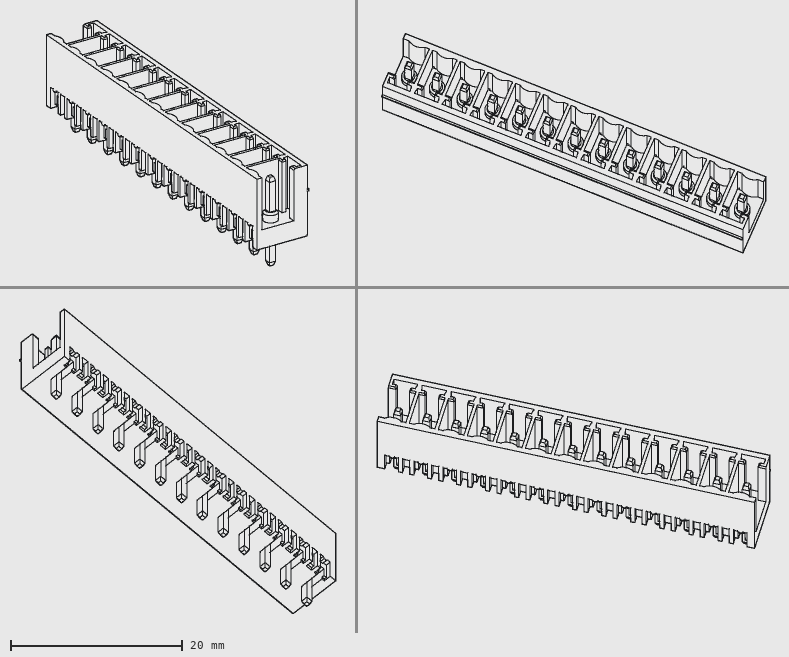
import cadquery as cq

PIN_COUNT = 13
LENGTH = 45.5
PITCH = LENGTH / PIN_COUNT
PIN_XS = [(i - (PIN_COUNT - 1) / 2) * PITCH for i in range(PIN_COUNT)]
GAP_XS = [x + PITCH / 2 for x in PIN_XS[:-1]]

DEPTH = 7.0
HEIGHT = 9.2
FLOOR_Z = 2.45
FRONT_WALL = 0.7
BACK_WALL = 0.7
FRONT_Y = -3.0
BACK_Y = FRONT_Y + DEPTH
CAVITY_FRONT_Y = FRONT_Y + FRONT_WALL
CAVITY_BACK_Y = BACK_Y - BACK_WALL
BOTTOM_EDGE_CHAMFER = 0.15

RIB_PROJECTION = 0.25
RIB_HEIGHT = 0.25
RIB_Z = 5.9

PARTITION = 0.4
TAB_THICKNESS = 0.55
TAB_SETBACK = 1.9
TAB_FRONT_Y = BACK_Y - TAB_SETBACK
TAB_BACK_Y = TAB_FRONT_Y + TAB_THICKNESS
TAB_GAP = 1.6
TAB_CHAMFER = 0.2
REAR_WALL_AT_BACK = 0.55
REAR_WALL_AT_TABS = 0.77
END_WALL = 0.35
BULGE_WIDTH = 2.0
BULGE_RISE = 0.3

PIN_SIDE = 0.85
PIN_TIP_SIDE = 0.5
PIN_TIP_LENGTH = 0.55
PIN_BOTTOM_Z = -3.4
PIN_TOP_RECESS = 1.1
PIN_TOP_Z = HEIGHT - PIN_TOP_RECESS
COLLAR_DIAMETER = 1.8
COLLAR_HEIGHT = 1.25
COLLAR_CHAMFER = 0.27

SLOT_HEIGHT = 2.75
PIN_SLOT_WIDTH = 1.65
PIN_SLOT_DEPTH = 0.65
PIN_SLOT_FOOT_HEIGHT = 0.35
GAP_SLOT_WIDTH = 0.85
GAP_SLOT_DEPTH = 0.6
GAP_SLOT_FOOT_HEIGHT = 0.5
SLOT_FOOT_DEPTH = 0.95
PIN_NOTCH_HEIGHT = 1.65
KEY_TOP_WIDTH = 0.7
KEY_BOTTOM_WIDTH = 0.35
KEY_HEIGHT = 0.27


def box(x_min, x_max, y_min, y_max, z_min, z_max):
    """Axis-aligned block between the given limits."""
    size = (x_max - x_min, y_max - y_min, z_max - z_min)
    return cq.Workplane("XY").box(*size, centered=False).translate((x_min, y_min, z_min))


def centred_box(x, width, y_min, y_max, z_min, z_max):
    """Block of the given width centred on x."""
    return box(x - width / 2, x + width / 2, y_min, y_max, z_min, z_max)


def make_shell():
    """Outer block with the back rib and the channel open at both ends."""
    end = LENGTH / 2
    shell = box(-end, end, FRONT_Y, BACK_Y, 0, HEIGHT)
    shell = shell.edges(">Y and <Z").chamfer(BOTTOM_EDGE_CHAMFER)
    rib_bottom_z = RIB_Z - RIB_HEIGHT / 2
    rib_top_z = RIB_Z + RIB_HEIGHT / 2
    shell = shell.union(box(-end, end, BACK_Y, BACK_Y + RIB_PROJECTION, rib_bottom_z, rib_top_z))
    shell = shell.cut(box(-end, end, CAVITY_FRONT_Y, TAB_FRONT_Y, FLOOR_Z, HEIGHT))
    lead_in = (
        cq.Workplane("YZ", origin=(-end, 0, 0))
        .moveTo(TAB_FRONT_Y, HEIGHT)
        .lineTo(TAB_FRONT_Y + TAB_CHAMFER, HEIGHT)
        .lineTo(TAB_FRONT_Y, HEIGHT - TAB_CHAMFER)
        .close()
        .extrude(LENGTH)
    )
    return shell.cut(lead_in)


def make_rear_pocket(x, is_first, is_last):
    """Pocket behind the tabs, with the gap between the tabs and its lead-in chamfers."""
    half_at_back = (PITCH - REAR_WALL_AT_BACK) / 2
    half_at_tabs = (PITCH - REAR_WALL_AT_TABS) / 2
    half_at_end = PITCH / 2 - END_WALL
    left_back, left_tabs = (half_at_end, half_at_end) if is_first else (half_at_back, half_at_tabs)
    right_back, right_tabs = (half_at_end, half_at_end) if is_last else (half_at_back, half_at_tabs)
    pocket = (
        cq.Workplane("XY", origin=(x, 0, FLOOR_Z))
        .moveTo(-left_back, CAVITY_BACK_Y)
        .lineTo(right_back, CAVITY_BACK_Y)
        .lineTo(right_tabs, TAB_BACK_Y)
        .lineTo(-left_tabs, TAB_BACK_Y)
        .close()
        .extrude(HEIGHT - FLOOR_Z)
    )
    gap = centred_box(x, TAB_GAP, TAB_FRONT_Y, TAB_BACK_Y, FLOOR_Z, HEIGHT)
    lead_in = (
        cq.Workplane("XZ", origin=(x, TAB_BACK_Y, 0))
        .moveTo(-TAB_GAP / 2 - TAB_CHAMFER, HEIGHT)
        .lineTo(TAB_GAP / 2 + TAB_CHAMFER, HEIGHT)
        .lineTo(TAB_GAP / 2, HEIGHT - TAB_CHAMFER)
        .lineTo(-TAB_GAP / 2, HEIGHT - TAB_CHAMFER)
        .close()
        .extrude(TAB_THICKNESS)
    )
    return pocket.union(gap).union(lead_in)


def make_bulge(x):
    """Shallow arched rib on the inside of the front wall, opposite the pin."""
    return (
        cq.Workplane("XY", origin=(x, CAVITY_FRONT_Y, FLOOR_Z))
        .moveTo(-BULGE_WIDTH / 2, 0)
        .threePointArc((0, BULGE_RISE), (BULGE_WIDTH / 2, 0))
        .close()
        .extrude(HEIGHT - FLOOR_Z)
    )


def make_slot(x, width, depth, foot_height):
    """Slot in the lower front wall, deeper at its foot."""
    slot = centred_box(x, width, FRONT_Y, FRONT_Y + depth, 0, SLOT_HEIGHT)
    foot = centred_box(x, width, FRONT_Y, FRONT_Y + SLOT_FOOT_DEPTH, 0, foot_height)
    return slot.union(foot)


def make_pin_slot(x):
    """Slot in front of a pin: keyed top edge and a notch that reaches back to the pin."""
    slot = make_slot(x, PIN_SLOT_WIDTH, PIN_SLOT_DEPTH, PIN_SLOT_FOOT_HEIGHT)
    key = (
        cq.Workplane("XZ", origin=(x, FRONT_Y + PIN_SLOT_DEPTH, 0))
        .moveTo(-KEY_TOP_WIDTH / 2, SLOT_HEIGHT)
        .lineTo(KEY_TOP_WIDTH / 2, SLOT_HEIGHT)
        .lineTo(KEY_BOTTOM_WIDTH / 2, SLOT_HEIGHT - KEY_HEIGHT)
        .lineTo(-KEY_BOTTOM_WIDTH / 2, SLOT_HEIGHT - KEY_HEIGHT)
        .close()
        .extrude(PIN_SLOT_DEPTH)
    )
    notch = centred_box(x, PIN_SIDE, FRONT_Y, -PIN_SIDE / 2, 0, PIN_NOTCH_HEIGHT)
    return slot.cut(key).union(notch)


def make_pin_tip(base_z, direction):
    """Tapered pin end that starts at base_z and points up (+1) or down (-1)."""
    return (
        cq.Workplane("XY", origin=(0, 0, base_z))
        .rect(PIN_SIDE, PIN_SIDE)
        .workplane(offset=direction * PIN_TIP_LENGTH)
        .rect(PIN_TIP_SIDE, PIN_TIP_SIDE)
        .loft(ruled=True)
    )


def make_pin(x):
    """Square pin with tapered ends and a round chamfered collar on the cell floor."""
    shank_bottom = PIN_BOTTOM_Z + PIN_TIP_LENGTH
    shank_top = PIN_TOP_Z - PIN_TIP_LENGTH
    shank = centred_box(0, PIN_SIDE, -PIN_SIDE / 2, PIN_SIDE / 2, shank_bottom, shank_top)
    collar = (
        cq.Workplane("XY", origin=(0, 0, FLOOR_Z))
        .circle(COLLAR_DIAMETER / 2)
        .extrude(COLLAR_HEIGHT)
        .faces(">Z")
        .chamfer(COLLAR_CHAMFER)
    )
    pin = shank.union(make_pin_tip(shank_top, 1)).union(make_pin_tip(shank_bottom, -1)).union(collar)
    return pin.translate((x, 0, 0))


def make_partition(x):
    """Thin wall between two neighbouring cells, joined to the tabs behind it."""
    return centred_box(x, PARTITION, CAVITY_FRONT_Y, TAB_FRONT_Y + TAB_CHAMFER, FLOOR_Z, HEIGHT)


rear_pockets = [make_rear_pocket(x, x == PIN_XS[0], x == PIN_XS[-1]).val() for x in PIN_XS]
pin_slots = [make_pin_slot(x).val() for x in PIN_XS]
gap_slots = [make_slot(x, GAP_SLOT_WIDTH, GAP_SLOT_DEPTH, GAP_SLOT_FOOT_HEIGHT).val() for x in GAP_XS]
partitions = [make_partition(x).val() for x in GAP_XS]
bulges = [make_bulge(x).val() for x in PIN_XS]
pins = [make_pin(x).val() for x in PIN_XS]

housing = make_shell().val().cut(*rear_pockets, *pin_slots, *gap_slots)
merged = housing.fuse(*partitions, *bulges).fuse(*pins).clean()
result = cq.Workplane(merged.Solids()[0])